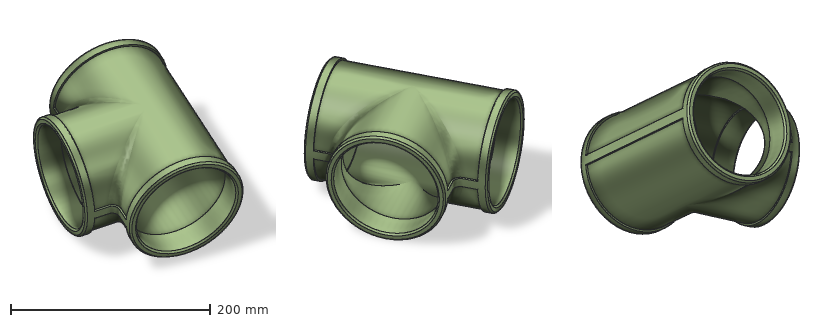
import cadquery as cq
reach = 96.5
collar_diameter = 126.0
collar_width = 10.0
collar_chamfer = 2.0
collar_step = 2.1
band_width = 10.0
crotch_radius = 10.0
chamber_diameter = 113.9
socket_diameter = 110.0
socket_depth = 27.5
mouth_chamfer = 2.0

collar_radius = collar_diameter / 2
wall_radius = collar_radius - collar_step
chamber_radius = chamber_diameter / 2
socket_radius = socket_diameter / 2
band_reach = reach - collar_width
band_crotch_radius = crotch_radius - collar_step
chamber_reach = reach - socket_depth

fillet_height = 0.99 * 2 * wall_radius

run_axis = cq.Vector(1, 0, 0)
branch_axis = cq.Vector(0, -1, 0)
end_directions = [run_axis, run_axis * -1, branch_axis]


def round_bar(direction, start, end, radius):
    """Round bar along a direction, between two distances from the origin."""
    return cq.Workplane(cq.Solid.makeCylinder(radius, end - start, direction * start, direction))


def crossing_bars(radius, length):
    """Solid tee of a run bar and a branch bar of equal radius."""
    run = round_bar(run_axis, -length, length, radius)
    branch = round_bar(branch_axis, 0, length, radius)
    return run.union(branch)


def filleted_slice(radius, length, height, fillet):
    """Middle slice of a solid tee, with both crotch edges rounded."""
    slab = cq.Workplane().box(2 * reach, 2 * reach, height)
    middle = crossing_bars(radius, length).intersect(slab)
    crotch_zone = cq.selectors.BoxSelector(
        (-0.9 * length, -0.9 * length, -0.45 * height),
        (0.9 * length, -0.01 * length, 0.45 * height),
    )
    return middle.edges("%ELLIPSE").edges(crotch_zone).fillet(fillet)


def end_collars():
    """Raised collars at the three open ends, chamfered on their outer rims."""
    between = cq.Workplane().box(2 * band_reach, 2 * band_reach, collar_diameter)
    collars = crossing_bars(collar_radius, reach).cut(between)
    return collars.faces("<X or >X or <Y").chamfer(collar_chamfer)


def socket(direction):
    """Narrow bore at an open end, flared by a chamfer at the mouth."""
    bore = round_bar(direction, 0, reach, socket_radius)
    mouth_radius = socket_radius + mouth_chamfer
    flare = cq.Solid.makeCone(mouth_radius, socket_radius, mouth_chamfer, direction * reach, direction * -1)
    return bore.union(cq.Workplane(flare))


result = crossing_bars(wall_radius, reach)
result = result.union(filleted_slice(wall_radius, reach, fillet_height, crotch_radius))
result = result.union(filleted_slice(collar_radius, band_reach, band_width, band_crotch_radius))
result = result.union(end_collars())

result = result.cut(crossing_bars(chamber_radius, chamber_reach))
for direction in end_directions:
    result = result.cut(socket(direction))